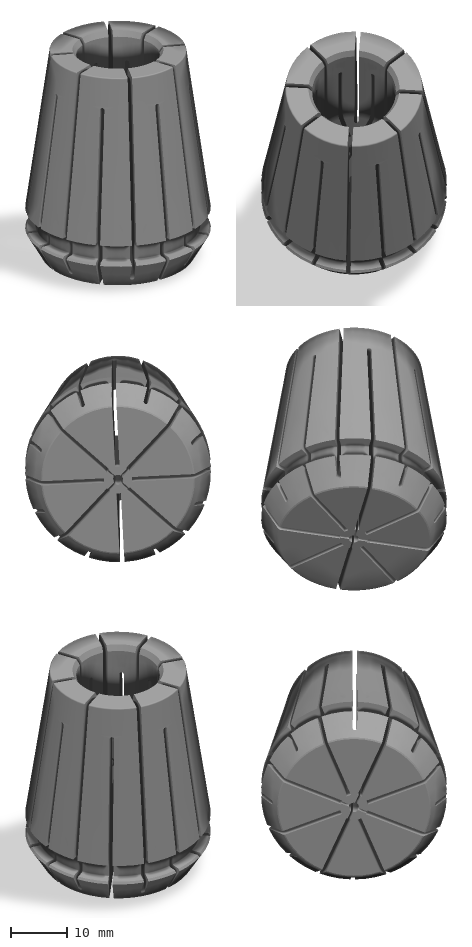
import cadquery as cq
import math

height = 40.0
max_diameter = 33.0
max_radius = max_diameter / 2

nose_angle = 30.0
nose_height = 5.1
rim_top_radius = 16.2
nose_base_chamfer = 0.15
nose_base_radius = max_radius - nose_height * math.tan(math.radians(nose_angle))

groove_bottom = 5.5
groove_top = 9.1
groove_radius = 14.6
groove_fillet = 0.2

taper_angle = 8.0
top_radius = max_radius - (height - groove_top) * math.tan(math.radians(taper_angle))
top_fillet = 0.25

bore_radius = 7.45
bore_floor = 20.0
bore_floor_fillet = 0.8
bore_mouth_radius = 8.1
bore_mouth_depth = 1.0
small_bore_radius = 0.9
small_bore_chamfer = 0.25

slots_per_end = 8
slot_pitch = 360.0 / slots_per_end
slot_width = 0.8
slot_half_width = slot_width / 2
overshoot = 2.0
slot_reach = max_radius + overshoot

nose_slot_top = 34.4
nose_slot_root = 2.5
nose_slot_exit = 2.8
nose_slot_curve_start = 14.9

mouth_slot_floor_radius = 5.6
mouth_slot_slope = 64.5

split_width = 0.4
split_count = 4

match_tolerance = 0.0005


def circular_edges(body, radius):
    """Select every circular edge of the given radius."""
    circles = body.edges("%CIRCLE").vals()
    return body.newObject([edge for edge in circles if abs(edge.radius() - radius) < match_tolerance])


def make_body():
    """Revolve the outer tapers, the groove and the stepped bore, then ease the edges."""
    fillet_height = bore_floor + bore_floor_fillet
    fillet_center = bore_radius - bore_floor_fillet
    fillet_reach = bore_floor_fillet * math.sqrt(0.5)
    sharp_body = (
        cq.Workplane("XZ")
        .moveTo(small_bore_radius, 0)
        .lineTo(nose_base_radius, 0)
        .lineTo(max_radius, nose_height)
        .lineTo(rim_top_radius, groove_bottom)
        .lineTo(groove_radius, groove_bottom)
        .lineTo(groove_radius, groove_top)
        .lineTo(max_radius, groove_top)
        .lineTo(top_radius, height)
        .lineTo(bore_mouth_radius, height)
        .lineTo(bore_radius, height - bore_mouth_depth)
        .lineTo(bore_radius, fillet_height)
        .threePointArc(
            (fillet_center + fillet_reach, fillet_height - fillet_reach),
            (fillet_center, bore_floor),
        )
        .lineTo(small_bore_radius + small_bore_chamfer, bore_floor)
        .lineTo(small_bore_radius, bore_floor - small_bore_chamfer)
        .close()
        .revolve(360, (0, 0, 0), (0, 1, 0))
    )
    body = circular_edges(sharp_body, groove_radius).fillet(groove_fillet)
    body = circular_edges(body, top_radius).fillet(top_fillet)
    return circular_edges(body, nose_base_radius).chamfer(nose_base_chamfer)


def round_edge(start, end):
    """Cylinder as wide as a slot, between two (radius, z) points."""
    first = cq.Vector(start[0], 0, start[1])
    axis = cq.Vector(end[0], 0, end[1]) - first
    return cq.Workplane(cq.Solid.makeCylinder(slot_half_width, axis.Length, first, axis))


def make_nose_slot():
    """Slot along +X, open downward, with a half-round top."""
    round_axis = nose_slot_top - slot_half_width
    curve_rise = bore_floor - nose_slot_curve_start
    slab = (
        cq.Workplane("XZ")
        .moveTo(nose_slot_root, -overshoot)
        .lineTo(nose_slot_root, nose_slot_curve_start)
        .tangentArcPoint((nose_slot_exit - nose_slot_root, curve_rise))
        .lineTo(nose_slot_exit, round_axis)
        .lineTo(slot_reach, round_axis)
        .lineTo(slot_reach, -overshoot)
        .close()
        .extrude(slot_half_width, both=True)
    )
    return slab.union(round_edge((nose_slot_exit, round_axis), (slot_reach, round_axis)))


def make_mouth_slot():
    """Slot along +X, open upward, with a round floor falling outward."""
    slope = math.radians(mouth_slot_slope)
    axis_radius = mouth_slot_floor_radius + slot_half_width * math.sin(slope)
    axis_height = bore_floor + slot_half_width * math.cos(slope)
    inner_end = (axis_radius - overshoot, axis_height + overshoot * math.tan(slope))
    outer_end = (slot_reach, axis_height - (slot_reach - axis_radius) * math.tan(slope))
    slab = (
        cq.Workplane("XZ")
        .polyline([
            inner_end,
            outer_end,
            (slot_reach, height + overshoot),
            (inner_end[0], height + overshoot),
        ])
        .close()
        .extrude(slot_half_width, both=True)
    )
    return slab.union(round_edge(inner_end, outer_end))


def make_split():
    """Narrow cut along +X from the axis into a nose slot."""
    length = nose_slot_exit + slot_half_width
    return cq.Workplane("XY").box(length, split_width, bore_floor, centered=(False, True, False))


def cut_around(body, cutter, count, first_angle=0.0):
    """Cut evenly spaced copies of the cutter around Z."""
    for index in range(count):
        angle = first_angle + index * 360.0 / count
        body = body.cut(cutter.rotate((0, 0, 0), (0, 0, 1), angle))
    return body


result = make_body()
result = cut_around(result, make_nose_slot(), slots_per_end)
result = cut_around(result, make_mouth_slot(), slots_per_end, slot_pitch / 2)
result = cut_around(result, make_split(), split_count)